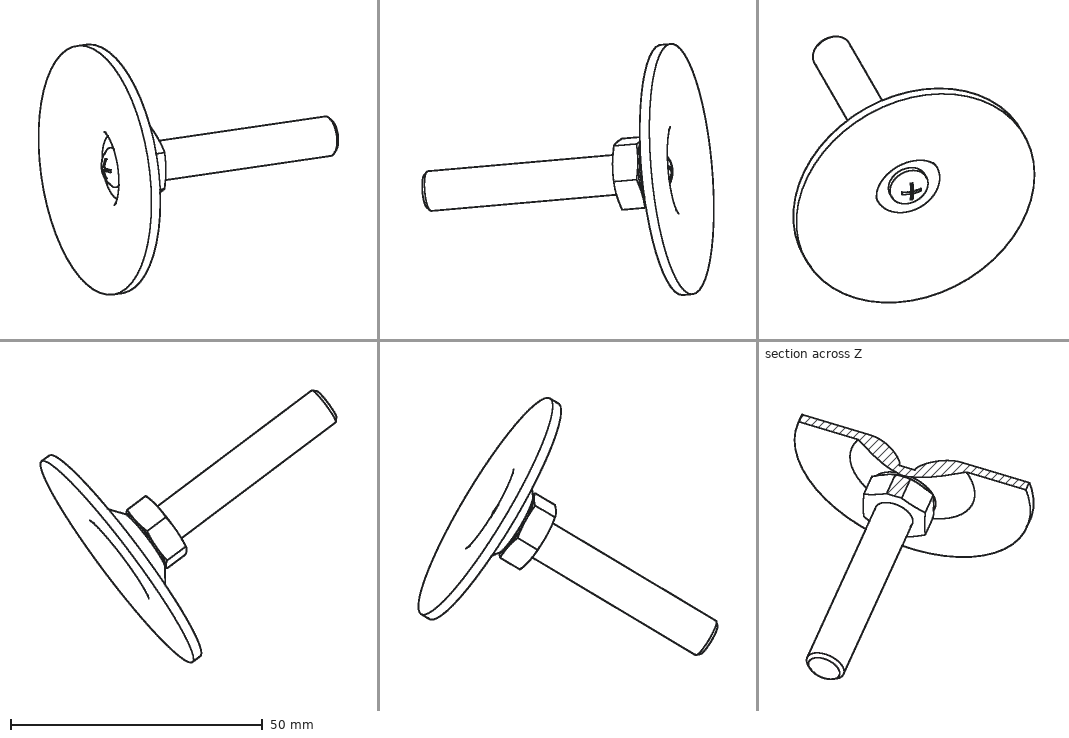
import cadquery as cq
import math

total_length = 52.5

plate_radius = 25.0
plate_thickness = 2.0
cone_base_radius = 13.25
collar_base_radius = 6.75
collar_top_radius = 6.5
collar_start = 6.9

nut_start = 7.3
nut_end = 12.5
nut_across_flats = 13.0
nut_corner_radius = nut_across_flats / math.sqrt(3)
nut_chamfer_height = 0.25
nut_face_radius = 6.5

spindle_radius = 4.0
tip_chamfer = 0.7

recess_floor_radius = 6.75
recess_depth = 5.0
flare_radius = recess_depth

dome_start = 4.0
dome_height = 2.0
dome_tip = dome_start - dome_height
slot_length = 4.0
slot_width = 0.5
slot_depth = 1.0


def revolve_about_y(profile):
    """Revolve a closed radius/Y profile fully about the Y axis."""
    return profile.close().revolve(360, (0, 0, 0), (0, 1, 0))


def make_foot():
    """Plate, cone and collar, hollowed below by a quarter-round flare."""
    recess_mouth_radius = recess_floor_radius + flare_radius
    arc_offset = flare_radius * math.sqrt(0.5)
    profile = (
        cq.Workplane("XY")
        .moveTo(0, recess_depth)
        .lineTo(recess_floor_radius, recess_depth)
        .threePointArc(
            (recess_mouth_radius - arc_offset, recess_depth - arc_offset),
            (recess_mouth_radius, 0),
        )
        .lineTo(plate_radius, 0)
        .lineTo(plate_radius, plate_thickness)
        .lineTo(cone_base_radius, plate_thickness)
        .lineTo(collar_base_radius, collar_start)
        .lineTo(collar_top_radius, nut_start)
        .lineTo(0, nut_start)
    )
    return revolve_about_y(profile)


def make_nut():
    """Hexagon with corners toward +Z and -Z, its corners chamfered at both ends."""
    corners = [
        (
            nut_corner_radius * math.sin(math.radians(60 * i)),
            nut_corner_radius * math.cos(math.radians(60 * i)),
        )
        for i in range(6)
    ]
    hexagon = (
        cq.Workplane("XZ", origin=(0, nut_start, 0))
        .polyline(corners)
        .close()
        .extrude(nut_start - nut_end)
    )
    envelope = revolve_about_y(
        cq.Workplane("XY")
        .moveTo(0, nut_start)
        .lineTo(nut_face_radius, nut_start)
        .lineTo(nut_corner_radius, nut_start + nut_chamfer_height)
        .lineTo(nut_corner_radius, nut_end - nut_chamfer_height)
        .lineTo(nut_face_radius, nut_end)
        .lineTo(0, nut_end)
    )
    return hexagon.intersect(envelope)


def make_spindle():
    """Rod with a chamfered free end and a spherical dome at the foot end."""
    sphere_radius = (spindle_radius**2 + dome_height**2) / (2 * dome_height)
    mid_radius = spindle_radius / 2
    mid_y = dome_tip + sphere_radius - math.sqrt(sphere_radius**2 - mid_radius**2)
    profile = (
        cq.Workplane("XY")
        .moveTo(0, dome_tip)
        .threePointArc((mid_radius, mid_y), (spindle_radius, dome_start))
        .lineTo(spindle_radius, total_length - tip_chamfer)
        .lineTo(spindle_radius - tip_chamfer, total_length)
        .lineTo(0, total_length)
    )
    return revolve_about_y(profile)


def make_cross_slot():
    """Two crossed bars reaching from the floor plane into the dome."""
    slot_bottom = dome_tip + slot_depth
    center = (0, slot_bottom / 2, 0)
    across = cq.Workplane("XY").box(slot_length, slot_bottom, slot_width)
    upright = cq.Workplane("XY").box(slot_width, slot_bottom, slot_length)
    return across.union(upright).translate(center)


result = make_foot().union(make_nut()).union(make_spindle()).cut(make_cross_slot())